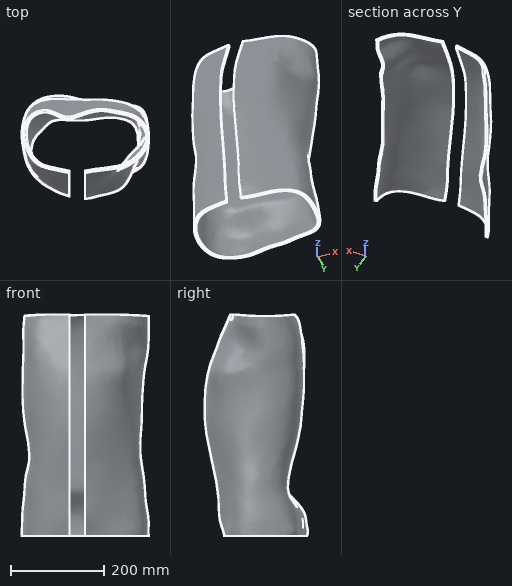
import cadquery as cq


BODY_HEIGHT = 474.4
WALL = 5.0

SLOT_LEFT = -34.0
SLOT_RIGHT = -1.0

RIM_DIP_DEPTH = 3.2
RIM_DIP_FRONT = -42.0
RIM_DIP_BACK = 84.0

CUT_MARGIN = 50.0
TOP = BODY_HEIGHT / 2
BOTTOM = -BODY_HEIGHT / 2

HEIGHTS = [TOP, 220, 190, 155, 120, 80, 40, 0, -40, -77, -115, -140, -160, -190, -215, BOTTOM]

LANDMARKS = {
    "left slot edge": (
        SLOT_LEFT,
        [-53.5, -60, -72, -85, -97, -102.5, -103.5, -102.5, -98, -91, -84, -80, -78, -76, -72, -66.5],
    ),
    "left chest": (
        -70,
        [-46, -53, -61, -74, -83, -88, -89, -89, -86, -82, -76, -73, -71, -69, -65, -61],
    ),
    "left front corner": (
        [-95, -102, -105, -108, -108, -107, -105, -102, -100, -100, -100, -101, -101, -101, -100, -99],
        [-38, -43, -50, -55, -58, -62, -64, -64, -63, -62, -60, -59, -57, -54, -53, -51],
    ),
    "left flank": (
        [-130, -132, -133, -133, -134, -135, -134, -130, -122, -119, -127, -130, -132.5, -135, -136, -136.5],
        [27, 27, 26, 25, 22, 19, 15, 11, 9, 8, 10, 12, 14, 18, 23, 26],
    ),
    "left back corner": (
        [-117, -118, -116, -115, -115, -115, -115, -109, -98, -92, -93, -101, -108, -109, -111, -112],
        [69, 78, 90, 91, 91, 85, 76, 63, 56, 49, 49, 59, 75, 92, 93, 92],
    ),
    "left shoulder blade": (
        -80,
        [81, 88, 101, 105, 104, 99, 87, 76, 66, 59, 60, 66, 83, 103, 107, 107],
    ),
    "left of spine": (
        -40,
        [66, 80, 95, 104, 104, 101, 92, 82, 72, 66, 65, 67, 83, 105.5, 110, 110],
    ),
    "spine": (
        0,
        [77, 90, 98, 103, 104, 103, 97, 89, 80, 71, 65, 66, 79, 99, 103, 103],
    ),
    "right of spine": (
        35,
        [84, 94, 99, 103, 104, 104.5, 101, 97, 89, 79, 70, 70, 79, 97, 102, 102],
    ),
    "right shoulder blade": (
        66,
        [80, 88, 96, 99, 101, 101, 99, 95, 87, 77, 71, 70, 77, 92, 96, 96],
    ),
    "right back corner": (
        [115, 113, 114, 115, 113, 108, 107, 106, 106, 106, 106, 108, 111, 115, 116, 116],
        [62, 70, 78, 82, 82, 85, 79, 72, 63, 55, 55, 56, 63, 73, 82, 85],
    ),
    "right flank": (
        [135.5, 136, 135, 131, 126, 122, 121, 120.5, 118, 119, 125, 127, 129, 134, 136, 136],
        [18, 20, 22, 20, 20, 20, 20, 20, 20, 20, 20, 20, 20, 22, 24, 25],
    ),
    "right front corner": (
        [105, 105, 96, 98, 104, 101, 101, 101, 104, 106, 109, 110, 112, 114, 116.5, 118],
        [-28, -29, -25, -22, -41, -38, -38, -41, -41, -39, -38, -40, -41, -41, -41, -40],
    ),
    "right chest side": (
        80,
        [-40, -43, -40, -58, -83, -76, -69, -67, -64, -61, -58, -57, -57, -56, -57, -58],
    ),
    "right chest": (
        46,
        [-46.5, -53, -65, -79, -97, -97, -95, -93, -86, -80, -76, -73, -71, -67, -64, -61],
    ),
    "right slot edge": (
        SLOT_RIGHT,
        [-53.5, -61, -73.5, -87.5, -99.5, -107, -108.8, -107.5, -101, -93, -85, -81, -79, -78, -73, -66.5],
    ),
}


def section_points(level):
    """Outer surface points of the section at one of the HEIGHTS."""
    points = []
    for x_line, y_line in LANDMARKS.values():
        x = x_line[level] if isinstance(x_line, list) else x_line
        points.append(cq.Vector(x, y_line[level], HEIGHTS[level]))
    return points


def inner_points(outer_points):
    """Inner surface points: the outer ones moved inwards by the wall thickness.

    They move square to the outer curve, except the two at the slot, which move along Y
    so that the slot keeps flat, parallel sides.
    """
    curve = cq.Edge.makeSpline(outer_points)
    up = cq.Vector(0, 0, 1)
    moved = []
    for point in outer_points:
        tangent = curve.tangentAt(curve.paramAt(point), mode="parameter")
        inward = tangent.cross(up)
        if point.x in (SLOT_LEFT, SLOT_RIGHT):
            inward = cq.Vector(0, 1 / inward.y, 0)
        moved.append(point + inward * WALL)
    return moved


def section_wire(level):
    """Closed C-shaped outline of the wall at one of the HEIGHTS, open at the slot."""
    outer = section_points(level)
    inner = inner_points(outer)
    return cq.Wire.assembleEdges(
        [
            cq.Edge.makeSpline(outer),
            cq.Edge.makeLine(outer[-1], inner[-1]),
            cq.Edge.makeSpline(inner[::-1]),
            cq.Edge.makeLine(inner[0], outer[0]),
        ]
    )


def rim_dip_cutter():
    """Shallow trough along X that lowers the top rim at the flanks."""
    half_length = 200.0
    middle = (RIM_DIP_FRONT + RIM_DIP_BACK) / 2
    return (
        cq.Workplane("YZ")
        .moveTo(RIM_DIP_FRONT, TOP)
        .threePointArc((middle, TOP - RIM_DIP_DEPTH), (RIM_DIP_BACK, TOP))
        .lineTo(RIM_DIP_BACK, TOP + CUT_MARGIN)
        .lineTo(RIM_DIP_FRONT, TOP + CUT_MARGIN)
        .close()
        .extrude(half_length, both=True)
    )


shell = cq.Workplane(obj=cq.Solid.makeLoft([section_wire(level) for level in range(len(HEIGHTS))]))
result = shell.cut(rim_dip_cutter())